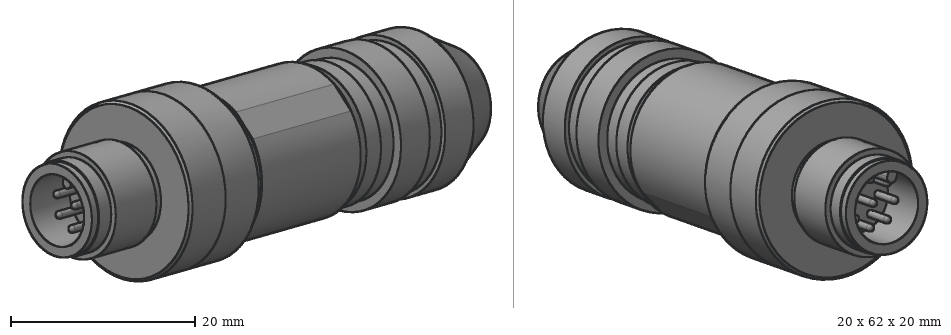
import cadquery as cq
import math

total_length = 62.0

tip_end = 1.0
tip_radius = 5.2
spigot_end = 2.9
spigot_radius = 5.35
thread_end = 9.3
thread_radius = 6.0
neck_radius = 5.6

collar_start = 10.5
collar_end = 21.5
collar_seam = (collar_start + collar_end) / 2
collar_diameter = 20.0
collar_radius = collar_diameter / 2
collar_chamfer = 0.3

rear_neck_end = 23.05
groove_radius = 8.55
grip_end = 38.55
grip_radius = 8.75
grip_taper_end = 40.05
shoulder_radius = 8.2
shoulder_end = 42.35
waist_radius = 8.0

nut_start = 44.5
nut_groove_start = 49.05
nut_groove_end = 51.45
nut_end = 55.9
nut_radius = 9.1
cone_start = 56.5
cone_start_radius = 8.6
cable_end_radius = 5.95

flat_distance = 8.55
flat_angles = (45, 225)

socket_radius = 4.0
socket_depth = 6.2
pin_radius = 0.45
pin_setback = 2.35
pin_circle_radius = 2.7
outer_pin_count = 7
first_pin_angle = -196
pin_step_angle = 49
key_radius = 0.59
key_angle = 73
key_center_radius = 3.3
key_setback = 0.5


def revolve_profile(points):
    """Revolve (radius, Y) points, closed along the axis, around Y."""
    return cq.Workplane("XY").polyline(points).close().revolve(360, (0, 0, 0), (0, 1, 0))


def polar(radius, angle):
    """X and Z of a point around the connector axis."""
    return radius * math.cos(math.radians(angle)), radius * math.sin(math.radians(angle))


def axial_cylinder(radius, center, front, back):
    """Cylinder parallel to Y between two stations."""
    x, z = center
    base = cq.Vector(x, front, z)
    return cq.Workplane(cq.Solid.makeCylinder(radius, back - front, base, cq.Vector(0, 1, 0)))


def make_pin(center):
    """Contact pin with a hemispherical tip."""
    x, z = center
    tip_center = pin_setback + pin_radius
    shank = axial_cylinder(pin_radius, center, tip_center, socket_depth)
    tip = cq.Workplane("XY").sphere(pin_radius).translate((x, tip_center, z))
    return shank.union(tip)


def make_key():
    """Round-nosed rib along the socket wall."""
    nose = axial_cylinder(key_radius, (key_center_radius, 0), key_setback, socket_depth)
    root_length = socket_radius + key_radius - key_center_radius
    root = cq.Workplane("XY").box(
        root_length, socket_depth - key_setback, 2 * key_radius, centered=(False, False, True)
    ).translate((key_center_radius, key_setback, 0))
    bore = axial_cylinder(socket_radius, (0, 0), 0, socket_depth)
    key = nose.union(root).intersect(bore)
    return key.rotate((0, 0, 0), (0, 1, 0), -key_angle)


def make_plug():
    """Front body: threaded plug, front half of the collar, pins and key."""
    plug = revolve_profile([
        (0, 0),
        (tip_radius, 0),
        (tip_radius, tip_end),
        (spigot_radius, tip_end),
        (spigot_radius, spigot_end),
        (thread_radius, spigot_end),
        (thread_radius, thread_end),
        (neck_radius, thread_end),
        (neck_radius, collar_start),
        (collar_radius - collar_chamfer, collar_start),
        (collar_radius, collar_start + collar_chamfer),
        (collar_radius, collar_seam),
        (0, collar_seam),
    ])
    plug = plug.cut(axial_cylinder(socket_radius, (0, 0), 0, socket_depth))
    plug = plug.union(make_key())
    plug = plug.union(make_pin((0, 0)))
    for index in range(outer_pin_count):
        angle = first_pin_angle + index * pin_step_angle
        plug = plug.union(make_pin(polar(pin_circle_radius, angle)))
    return plug


def cut_grip_flats(body):
    """Plane off the grip on two opposite sides."""
    cutter_size = 2 * grip_radius
    for angle in flat_angles:
        cutter = cq.Workplane("XY").box(
            cutter_size, grip_end - rear_neck_end, cutter_size, centered=(False, False, True)
        ).translate((flat_distance, rear_neck_end, 0))
        body = body.cut(cutter.rotate((0, 0, 0), (0, 1, 0), -angle))
    return body


def make_housing():
    """Rear body: rear half of the collar, grip and cable end."""
    housing = revolve_profile([
        (0, collar_seam),
        (collar_radius, collar_seam),
        (collar_radius, collar_end - collar_chamfer),
        (collar_radius - collar_chamfer, collar_end),
        (groove_radius, collar_end),
        (groove_radius, rear_neck_end),
        (grip_radius, rear_neck_end),
        (grip_radius, grip_end),
        (shoulder_radius, grip_taper_end),
        (shoulder_radius, shoulder_end),
        (waist_radius, shoulder_end),
        (waist_radius, nut_start),
        (nut_radius, nut_start),
        (nut_radius, nut_groove_start),
        (groove_radius, nut_groove_start),
        (groove_radius, nut_groove_end),
        (nut_radius, nut_groove_end),
        (nut_radius, nut_end),
        (cone_start_radius, cone_start),
        (cable_end_radius, total_length),
        (0, total_length),
    ])
    return cut_grip_flats(housing)


plug = make_plug()
housing = make_housing()
result = cq.Compound.makeCompound([plug.val(), housing.val()])